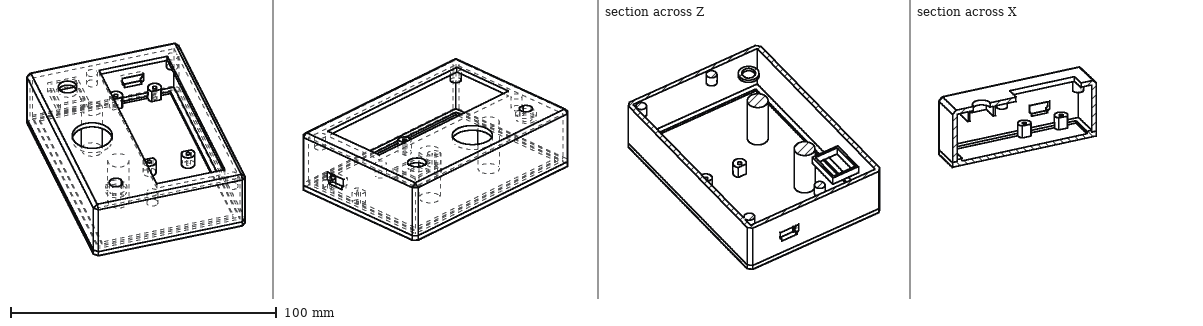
import cadquery as cq
import math

LENGTH = 84.0
WIDTH = 60.0
HEIGHT = 24.0
EDGE_CHAMFER = 1.5
WALL = 2.0

LID_THICKNESS = 2.0
LIP_WIDTH = 2.0
LIP_HEIGHT = 1.0

WINDOW_LENGTH = 70.0
WINDOW_WIDTH = 27.0
WINDOW_X = 0.9
WINDOW_Y = 10.0
DISPLAY_BOSS_DIAMETER = 4.2
DISPLAY_BOSS_HEIGHT = 5.0
DISPLAY_BOSS_OFFSET_X = 36.8
DISPLAY_BOSS_OFFSET_Y = 15.9

CONTROL_ROW_Y = -17.8
BUTTON_HOLE_X = -28.5
BUTTON_HOLE_DIAMETER = 7.0
KNOB_HOLE_X = 1.5
KNOB_HOLE_DIAMETER = 15.0

LAMP_HOLE_X = 30.5
LAMP_HOLE_DIAMETER = 5.0
LAMP_HOLE_FLAT_OFFSET = 2.35
LAMP_TUBE_DIAMETER = 8.0
LAMP_TUBE_HEIGHT = 2.0

FRAME_INNER_LENGTH = 12.1
FRAME_INNER_WIDTH = 9.6
FRAME_WALL = 1.0
FRAME_HEIGHT = 4.0

PILLAR_DIAMETER = 8.0
PILLAR_X = 16.0
PILLAR_Y = -12.3

BOARD_Y = 11.85
POST_DIAMETER = 5.0
POST_HEIGHT = 5.0
POST_FLAT_OFFSET = 1.8
POST_HOLE_DIAMETER = 1.5
POST_SPACING_Y = 15.3
POST_RIGHT_X = 3.45
POST_SPACING_X = 40.8

USB_WIDTH = 8.5
USB_BOTTOM_Z = 7.8
USB_TOP_Z = 12.4
USB_SHOULDER_Z = 8.8
USB_SHOULDER_WIDTH = 0.8
USB_SHOULDER_RADIUS = 1.3

CEILING_Z = HEIGHT - WALL
CAVITY_LENGTH = LENGTH - 2 * WALL
CAVITY_WIDTH = WIDTH - 2 * WALL


def block(length, width, bottom, top, x=0, y=0):
    """Upright box centred on (x, y)."""
    return cq.Workplane("XY", origin=(x, y, bottom)).rect(length, width).extrude(top - bottom)


def rod(diameter, bottom, top, x, y):
    """Upright cylinder centred on (x, y)."""
    return cq.Workplane("XY", origin=(x, y, bottom)).circle(diameter / 2).extrude(top - bottom)


def d_rod(diameter, flat_offset, flat_angle, bottom, top, x, y):
    """Upright cylinder with one flat, whose outward normal points along flat_angle in degrees."""
    half_flat = math.sqrt((diameter / 2) ** 2 - flat_offset**2)
    profile = (
        cq.Workplane("XY")
        .moveTo(flat_offset, half_flat)
        .threePointArc((-diameter / 2, 0), (flat_offset, -half_flat))
        .close()
        .extrude(top - bottom)
    )
    return profile.rotate((0, 0, 0), (0, 0, 1), flat_angle).translate((x, y, bottom))


def button_frame():
    outer_length = FRAME_INNER_LENGTH + 2 * FRAME_WALL
    outer_width = FRAME_INNER_WIDTH + 2 * FRAME_WALL
    bottom = CEILING_Z - FRAME_HEIGHT
    outer = block(outer_length, outer_width, bottom, CEILING_Z, BUTTON_HOLE_X, CONTROL_ROW_Y)
    inner = block(FRAME_INNER_LENGTH, FRAME_INNER_WIDTH, bottom, CEILING_Z, BUTTON_HOLE_X, CONTROL_ROW_Y)
    return outer.cut(inner)


def usb_cutter():
    """Opening through the -X wall, with a rounded shoulder on both sides."""
    half_top = USB_WIDTH / 2
    half_bottom = half_top - USB_SHOULDER_WIDTH
    arc_centre_y = half_top - USB_SHOULDER_RADIUS
    arc_angle = math.acos((half_bottom - arc_centre_y) / USB_SHOULDER_RADIUS)
    arc_top_z = USB_SHOULDER_Z + USB_SHOULDER_RADIUS * math.sin(arc_angle)
    arc_mid_y = arc_centre_y + USB_SHOULDER_RADIUS * math.cos(arc_angle / 2)
    arc_mid_z = arc_top_z - USB_SHOULDER_RADIUS * math.sin(arc_angle / 2)
    return (
        cq.Workplane("YZ", origin=(-LENGTH / 2, BOARD_Y, 0))
        .moveTo(-half_bottom, USB_BOTTOM_Z)
        .lineTo(half_bottom, USB_BOTTOM_Z)
        .lineTo(half_bottom, USB_SHOULDER_Z)
        .threePointArc((arc_mid_y, arc_mid_z), (half_top, arc_top_z))
        .lineTo(half_top, USB_TOP_Z)
        .lineTo(-half_top, USB_TOP_Z)
        .lineTo(-half_top, arc_top_z)
        .threePointArc((-arc_mid_y, arc_mid_z), (-half_bottom, USB_SHOULDER_Z))
        .close()
        .extrude(WALL)
    )


def build_housing():
    shell = block(LENGTH, WIDTH, LID_THICKNESS, HEIGHT).edges("|Z or >Z").chamfer(EDGE_CHAMFER)
    body = shell.cut(block(CAVITY_LENGTH, CAVITY_WIDTH, LID_THICKNESS, CEILING_Z))

    for side_x in (-1, 1):
        for side_y in (-1, 1):
            x = WINDOW_X + side_x * DISPLAY_BOSS_OFFSET_X
            y = WINDOW_Y + side_y * DISPLAY_BOSS_OFFSET_Y
            body = body.union(rod(DISPLAY_BOSS_DIAMETER, CEILING_Z - DISPLAY_BOSS_HEIGHT, CEILING_Z, x, y))
        pillar_x = side_x * PILLAR_X
        body = body.union(rod(PILLAR_DIAMETER, LID_THICKNESS, CEILING_Z, pillar_x, PILLAR_Y))
    tube_bottom = CEILING_Z - LAMP_TUBE_HEIGHT
    body = body.union(rod(LAMP_TUBE_DIAMETER, tube_bottom, CEILING_Z, LAMP_HOLE_X, CONTROL_ROW_Y))
    body = body.union(button_frame())

    body = body.cut(block(WINDOW_LENGTH, WINDOW_WIDTH, CEILING_Z, HEIGHT, WINDOW_X, WINDOW_Y))
    body = body.cut(rod(BUTTON_HOLE_DIAMETER, CEILING_Z, HEIGHT, BUTTON_HOLE_X, CONTROL_ROW_Y))
    body = body.cut(rod(KNOB_HOLE_DIAMETER, CEILING_Z, HEIGHT, KNOB_HOLE_X, CONTROL_ROW_Y))
    lamp_hole = d_rod(
        LAMP_HOLE_DIAMETER, LAMP_HOLE_FLAT_OFFSET, 90, tube_bottom, HEIGHT, LAMP_HOLE_X, CONTROL_ROW_Y
    )
    return body.cut(lamp_hole).cut(usb_cutter())


def board_post(x, y, flat_angle):
    top = LID_THICKNESS + POST_HEIGHT
    post = d_rod(POST_DIAMETER, POST_FLAT_OFFSET, flat_angle, LID_THICKNESS, top, x, y)
    return post.cut(rod(POST_HOLE_DIAMETER, LID_THICKNESS, top, x, y))


def build_lid():
    plate = block(LENGTH, WIDTH, 0, LID_THICKNESS).edges("|Z").chamfer(EDGE_CHAMFER)
    lip_top = LID_THICKNESS + LIP_HEIGHT
    lip_outer = block(CAVITY_LENGTH, CAVITY_WIDTH, LID_THICKNESS, lip_top)
    recess_length = CAVITY_LENGTH - 2 * LIP_WIDTH
    recess_width = CAVITY_WIDTH - 2 * LIP_WIDTH
    lip = lip_outer.cut(block(recess_length, recess_width, LID_THICKNESS, lip_top))
    body = plate.union(lip)

    for side in (-1, 1):
        y = BOARD_Y + side * POST_SPACING_Y / 2
        body = body.union(board_post(POST_RIGHT_X, y, 180))
        body = body.union(board_post(POST_RIGHT_X - POST_SPACING_X, y, 0))
    return body


housing = build_housing()
lid = build_lid()
result = cq.Compound.makeCompound([*housing.solids().vals(), *lid.solids().vals()])